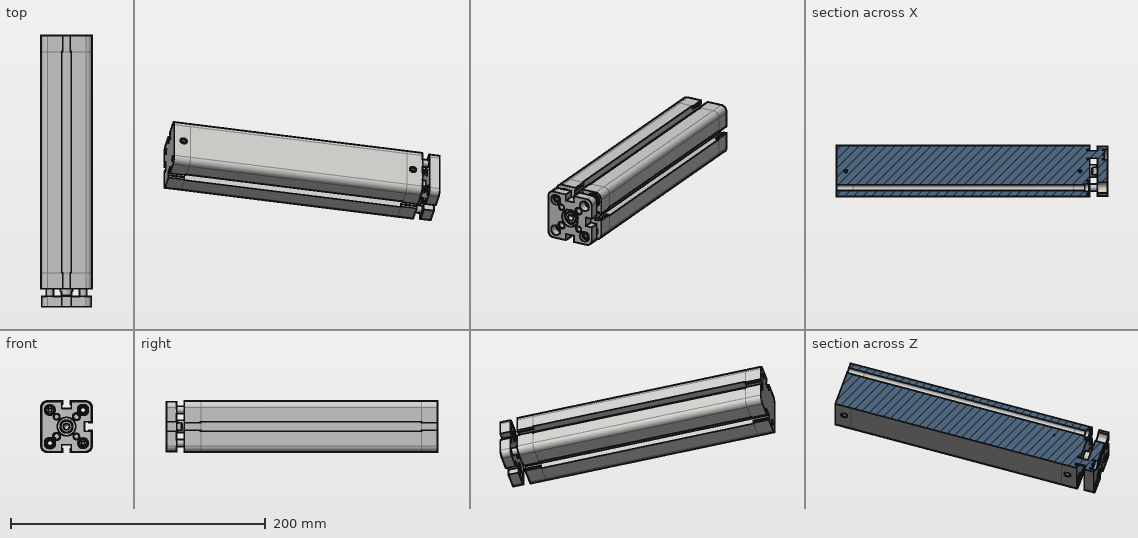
import cadquery as cq
import math


total_length = 213.0
plate_thickness = 8.0
body_front = 14.0
cap_length = 12.8

body_side = 40.3
plate_side = 39.2
body_corner_radius = 5.1

slot_width = 7.2
slot_floor = 14.3
cap_mouth_width = 5.8
cap_lip_thickness = 2.5
slot_angles = (0, 90, 180)

corner_offset = 13.0
inner_pitch_diameter = 22.0
inner_offset = inner_pitch_diameter / 2 / math.sqrt(2)
rising_corners = ((1, 1), (-1, -1))
falling_corners = ((-1, 1), (1, -1))

guide_rod_diameter = 6.0
rod_screw_hole = 8.0
rod_screw_head = 7.0
rod_screw_socket = 3.0
rod_screw_chamfer = 0.53
rod_screw_recess = 2.1
rod_screw_hole_depth = 4.3
rod_screw_socket_depth = 1.7

plate_access_hole = rod_screw_hole
small_thread = 5.0
small_thread_core = 4.3
large_thread = 6.0
large_thread_core = 5.0

center_recess = 14.5
center_recess_depth = 4.0
center_head = 10.0
center_head_setback = 1.0
center_head_chamfer = 0.53
center_socket = 5.0
center_socket_depth = 2.5

piston_rod_diameter = 10.0
piston_neck_diameter = 9.5
piston_neck_length = 1.0
flat_distance = 8.0
flat_end_y = 11.7

tie_screw_recess = 11.0
guide_rod_recess = 8.0
cap_recess_depth = 2.1
guide_rod_end = body_front + cap_recess_depth
tie_screw_head = 10.0
tie_screw_setback = 0.6
tie_screw_chamfer = 0.53
tie_screw_socket = 6.0
tie_screw_socket_depth = 3.2
tie_screw_bore = 4.3

port_diameter = 4.3
port_mouth_chamfer = 0.53
port_depth = 4.3
port_taper_depth = 1.5
port_bore = 2.0
port_bore_depth = 8.5
front_port_y = 21.7
rear_port_y = 205.5

rear_cap_start = total_length - cap_length
tube_start = body_front + cap_length


def corner_points(corners, offset):
    """X and Z of the given corners at one offset from the axis."""
    return [(x_sign * offset, z_sign * offset) for x_sign, z_sign in corners]


def square_bar(side, y_start, y_end):
    """Rounded square bar along Y; its corner arcs share the body's corner centers."""
    radius = body_corner_radius - (body_side - side) / 2
    bar = cq.Workplane("XY").box(side, y_end - y_start, side)
    return bar.edges("|Y").fillet(radius).translate((0, (y_start + y_end) / 2, 0))


def rod(diameter, y_start, y_end, x=0, z=0):
    """Round bar along Y."""
    base = cq.Vector(x, y_start, z)
    return cq.Workplane(cq.Solid.makeCylinder(diameter / 2, y_end - y_start, base, cq.Vector(0, 1, 0)))


def cone(diameter, y_start, depth, x=0, z=0):
    """Pointed cone along Y, widest at its start."""
    base = cq.Vector(x, y_start, z)
    return cq.Workplane(cq.Solid.makeCone(diameter / 2, 0, depth, base, cq.Vector(0, 1, 0)))


def slot_block(width, z_bottom, y_start, y_end):
    """Slot volume on the +Z side, open past the outer face."""
    height = body_side - z_bottom
    block = cq.Workplane("XY").box(width, y_end - y_start, height)
    return block.translate((0, (y_start + y_end) / 2, z_bottom + height / 2))


def cut_slots(section, slot):
    """Cut one slot volume into each slotted side."""
    for angle in slot_angles:
        section = section.cut(slot.rotate((0, 0, 0), (0, 1, 0), angle))
    return section


def lipped_slot(y_start, y_end):
    """Slot with a mouth narrower than its inside."""
    mouth = slot_block(cap_mouth_width, slot_floor, y_start, y_end)
    lip_bottom = body_side / 2 - cap_lip_thickness
    inside = cq.Workplane("XY").box(slot_width, y_end - y_start, lip_bottom - slot_floor)
    inside = inside.translate((0, (y_start + y_end) / 2, (lip_bottom + slot_floor) / 2))
    return mouth.union(inside)


def make_port(section, port_y):
    """Air port entering from the -X side: chamfered mouth, conical floor and narrow bore."""
    mouth_radius = port_diameter / 2 + port_mouth_chamfer
    port = (
        cq.Workplane("XY")
        .polyline([
            (0, 0),
            (0, mouth_radius),
            (port_mouth_chamfer, port_diameter / 2),
            (port_depth, port_diameter / 2),
            (port_depth + port_taper_depth, port_bore / 2),
            (port_bore_depth, port_bore / 2),
            (port_bore_depth, 0),
        ])
        .close()
        .revolve(360, (0, 0, 0), (1, 0, 0))
    )
    return section.cut(port.translate((-body_side / 2, port_y, 0)))


def cut_tie_bores(section):
    """Through bores of the two hollow tie screws."""
    for x, z in corner_points(rising_corners, corner_offset):
        section = section.cut(rod(tie_screw_bore, body_front, total_length, x, z))
    return section


def make_tube():
    """Profile tube between the two caps."""
    tube = square_bar(body_side, tube_start, rear_cap_start)
    tube = cut_slots(tube, slot_block(slot_width, slot_floor, tube_start, rear_cap_start))
    return cut_tie_bores(tube)


def make_cap(y_start, port_y):
    """End cap with lipped slots and one air port."""
    y_end = y_start + cap_length
    cap = square_bar(body_side, y_start, y_end)
    cap = cut_slots(cap, lipped_slot(y_start, y_end))
    cap = make_port(cap, port_y)
    return cut_tie_bores(cap)


def make_front_cap():
    """Front cap with guide rod recesses and tie screw heads."""
    cap = make_cap(body_front, front_port_y)
    recess_floor = body_front + cap_recess_depth
    head_face = body_front + tie_screw_setback
    socket_floor = head_face + tie_screw_socket_depth
    for x, z in corner_points(falling_corners, corner_offset):
        cap = cap.cut(rod(guide_rod_recess, body_front, recess_floor, x, z))
    for x, z in corner_points(rising_corners, corner_offset):
        cap = cap.cut(rod(tie_screw_recess, body_front, recess_floor, x, z))
        head = rod(tie_screw_head, head_face, recess_floor, x, z)
        cap = cap.union(head.faces("<Y").chamfer(tie_screw_chamfer))
        cap = cap.cut(rod(tie_screw_socket, head_face, socket_floor, x, z))
        cap = cap.cut(rod(tie_screw_bore, head_face, tube_start, x, z))
    return cap


def threaded_hole(mouth_diameter, core_diameter, x, z):
    """Cutter for a hole through the plate with a countersunk mouth."""
    depth = (mouth_diameter - core_diameter) / 2
    mouth = cq.Solid.makeCone(
        mouth_diameter / 2, core_diameter / 2, depth, cq.Vector(x, 0, z), cq.Vector(0, 1, 0)
    )
    return rod(core_diameter, 0, plate_thickness, x, z).union(cq.Workplane(mouth))


def rod_screw(x, z):
    """Screw head at the bottom of a plate hole, with a conical socket."""
    head = rod(rod_screw_head, rod_screw_recess, rod_screw_hole_depth, x, z)
    head = head.faces("<Y").chamfer(rod_screw_chamfer)
    return head.cut(cone(rod_screw_socket, rod_screw_recess, rod_screw_socket_depth, x, z))


def center_screw():
    """Chamfered screw head on the axis, with a conical socket."""
    head = rod(center_head, center_head_setback, center_recess_depth)
    head = head.faces("<Y").chamfer(center_head_chamfer)
    return head.cut(cone(center_socket, center_head_setback, center_socket_depth))


def make_plate():
    """Yoke plate with its slots, holes and screw heads."""
    plate = square_bar(plate_side, 0, plate_thickness)
    plate = cut_slots(plate, slot_block(slot_width, slot_floor, 0, plate_thickness))
    for x, z in corner_points(rising_corners, inner_offset):
        plate = plate.cut(threaded_hole(large_thread, large_thread_core, x, z))
    for x, z in corner_points(falling_corners, inner_offset):
        plate = plate.cut(threaded_hole(small_thread, small_thread_core, x, z))
    for x, z in corner_points(rising_corners, corner_offset):
        plate = plate.cut(rod(plate_access_hole, 0, plate_thickness, x, z))
    for x, z in corner_points(falling_corners, corner_offset):
        plate = plate.cut(rod(rod_screw_hole, 0, rod_screw_hole_depth, x, z))
        plate = plate.union(rod_screw(x, z))
    plate = plate.cut(rod(center_recess, 0, center_recess_depth))
    return plate.union(center_screw())


def make_piston_rod():
    """Piston rod with a stepped-down end and two flats that run out in 45 degree ramps."""
    shoulder = plate_thickness + piston_neck_length
    piston = rod(piston_rod_diameter, shoulder, body_front)
    piston = piston.union(rod(piston_neck_diameter, plate_thickness, shoulder))
    rod_radius = piston_rod_diameter / 2
    flat_x = flat_distance / 2
    ramp_end_y = flat_end_y + (rod_radius - flat_x)
    for side in (-1, 1):
        cutter = (
            cq.Workplane("XY")
            .polyline([
                (side * flat_x, plate_thickness),
                (side * flat_x, flat_end_y),
                (side * rod_radius, ramp_end_y),
                (side * rod_radius, plate_thickness),
            ])
            .close()
            .extrude(rod_radius, both=True)
        )
        piston = piston.cut(cutter)
    return piston


result = make_tube()
sections = [make_front_cap(), make_cap(rear_cap_start, rear_port_y), make_piston_rod(), make_plate()]
for x, z in corner_points(falling_corners, corner_offset):
    sections.append(rod(guide_rod_diameter, plate_thickness, guide_rod_end, x, z))
for section in sections:
    result = result.union(section, clean=False)